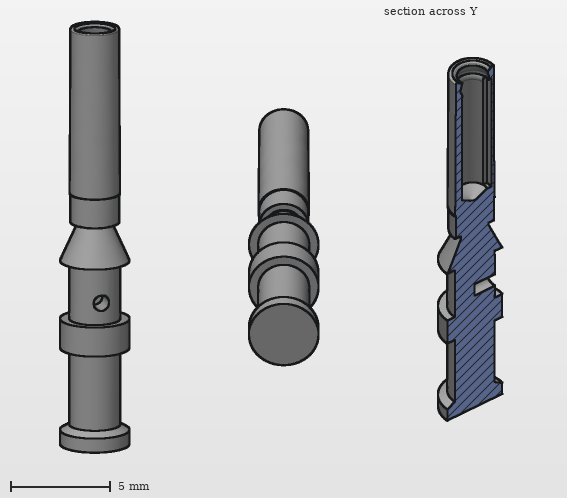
import cadquery as cq
import math

foot_edge_height = 0.73
foot_top = 1.01
collar_bottom = 4.98
collar_top = 6.5
cone_bottom = 9.5
cone_top = 11.4
sleeve_bottom = 11.5
barrel_bottom = 13.0
total_height = 21.58

flange_diameter = 3.5
shaft_diameter = 2.57
neck_diameter = 1.8
sleeve_diameter = 2.45
barrel_bottom_diameter = 2.55
barrel_top_diameter = 2.45

inspection_hole_diameter = 0.8
inspection_hole_height = 7.62

rim_outer_depth = 0.09
mouth_diameter = 2.05
mouth_depth = 0.06
mouth_step_diameter = 1.8
mouth_step_depth = 0.15
lip_diameter = 1.6
lip_depth = 0.2
cavity_diameter = 1.8
cavity_cone_depth = 0.58
cavity_depth = 0.8
entry_round_diameter = 1.66
entry_round_depth = 0.88
bore_diameter = 1.6
bore_entry_depth = 1.1
bore_depth = 7.77
drill_tip_angle = 120.0

slit_width = 0.35
slit_reach = 1.04


def revolve_half(half_profile):
    """Close a half profile in the XZ plane and revolve it about Z."""
    return half_profile.close().revolve(360, (0, 0), (0, 1))


def turned_body():
    """Foot, collar, locking cone and barrel, filled up to the crest of the rim."""
    rim_crest_diameter = (barrel_top_diameter + mouth_diameter) / 2
    mouth_height = total_height - mouth_depth
    half_profile = (
        cq.Workplane("XZ")
        .polyline([
            (0, 0),
            (flange_diameter / 2, 0),
            (flange_diameter / 2, foot_edge_height),
            (shaft_diameter / 2, foot_top),
            (shaft_diameter / 2, collar_bottom),
            (flange_diameter / 2, collar_bottom),
            (flange_diameter / 2, collar_top),
            (shaft_diameter / 2, collar_top),
            (shaft_diameter / 2, cone_bottom),
            (flange_diameter / 2, cone_bottom),
            (neck_diameter / 2, cone_top),
            (neck_diameter / 2, sleeve_bottom),
            (sleeve_diameter / 2, sleeve_bottom),
            (sleeve_diameter / 2, barrel_bottom),
            (barrel_bottom_diameter / 2, barrel_bottom),
            (barrel_top_diameter / 2, total_height - rim_outer_depth),
        ])
        .threePointArc((rim_crest_diameter / 2, total_height), (mouth_diameter / 2, mouth_height))
        .lineTo(0, mouth_height)
    )
    return revolve_half(half_profile)


def socket():
    """Countersunk mouth, undercut cavity behind the lip, and blind bore with a conical tip."""
    tip_depth = bore_diameter / 2 / math.tan(math.radians(drill_tip_angle / 2))
    half_profile = (
        cq.Workplane("XZ")
        .polyline([
            (0, total_height - mouth_depth),
            (mouth_diameter / 2, total_height - mouth_depth),
            (mouth_step_diameter / 2, total_height - mouth_step_depth),
            (lip_diameter / 2, total_height - lip_depth),
            (cavity_diameter / 2, total_height - cavity_cone_depth),
            (cavity_diameter / 2, total_height - cavity_depth),
        ])
        .threePointArc(
            (entry_round_diameter / 2, total_height - entry_round_depth),
            (bore_diameter / 2, total_height - bore_entry_depth),
        )
        .lineTo(bore_diameter / 2, total_height - bore_depth)
        .lineTo(0, total_height - bore_depth - tip_depth)
    )
    return revolve_half(half_profile)


def bore_slit():
    """Slit in the +X side of the bore wall, from the cavity down to the bore floor."""
    return cq.Workplane("XY", origin=(0, 0, total_height - bore_depth)).box(
        slit_reach, slit_width, bore_depth - cavity_depth, centered=(False, True, False)
    )


def inspection_hole():
    """Radial hole from the +X side down to the axis."""
    return (
        cq.Workplane("YZ")
        .center(0, inspection_hole_height)
        .circle(inspection_hole_diameter / 2)
        .extrude(shaft_diameter)
    )


result = turned_body().cut(socket()).cut(bore_slit()).cut(inspection_hole())